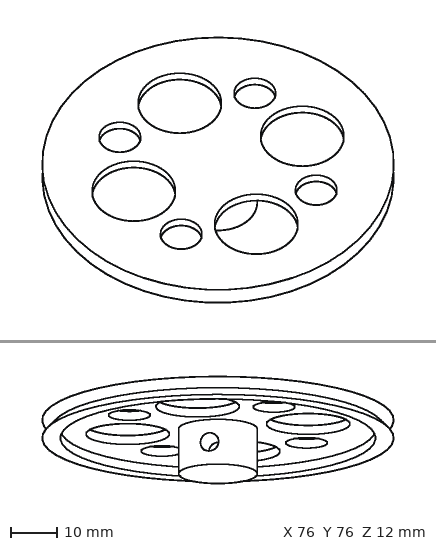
import cadquery as cq

disc_diameter = 76.0
disc_thickness = 4.0
groove_depth = 2.0

web_thickness = disc_thickness / 2
rim_wall = 2.0
recess_depth = disc_thickness - web_thickness
recess_radius = disc_diameter / 2 - groove_depth - rim_wall

hub_diameter = 17.0
hub_height = 8.0
screw_hole_diameter = 4.0
screw_hole_drop = 3.0

holes_per_ring = 4
large_hole_diameter = 18.0
large_ring_radius = 20.0
small_hole_diameter = 9.0
small_ring_radius = 22.65
diagonal_angle = 45.0


def make_disc():
    """Recessed disc with its rim underside at Z = 0 and a symmetric V groove around it."""
    rim_radius = disc_diameter / 2
    profile = [
        (0, recess_depth),
        (recess_radius, recess_depth),
        (recess_radius, 0),
        (rim_radius, 0),
        (rim_radius - groove_depth, disc_thickness / 2),
        (rim_radius, disc_thickness),
        (0, disc_thickness),
    ]
    return cq.Workplane("XZ").polyline(profile).close().revolve(360, (0, 0), (0, 1))


def make_hub():
    """Solid hub hanging from the web, drilled radially from -Y to its axis."""
    hub = (
        cq.Workplane("XY", origin=(0, 0, -hub_height))
        .circle(hub_diameter / 2)
        .extrude(hub_height + recess_depth)
    )
    screw_hole = (
        cq.Workplane("XZ")
        .center(0, -screw_hole_drop)
        .circle(screw_hole_diameter / 2)
        .extrude(hub_diameter / 2)
    )
    return hub.cut(screw_hole)


def make_hole_ring(hole_diameter, ring_radius, start_angle):
    """Cutters for equally spaced holes through the disc."""
    return (
        cq.Workplane("XY")
        .polarArray(ring_radius, start_angle, 360, holes_per_ring)
        .circle(hole_diameter / 2)
        .extrude(disc_thickness)
    )


large_holes = make_hole_ring(large_hole_diameter, large_ring_radius, 0)
small_holes = make_hole_ring(small_hole_diameter, small_ring_radius, diagonal_angle)
disc = make_disc().cut(large_holes).cut(small_holes)
result = disc.union(make_hub())